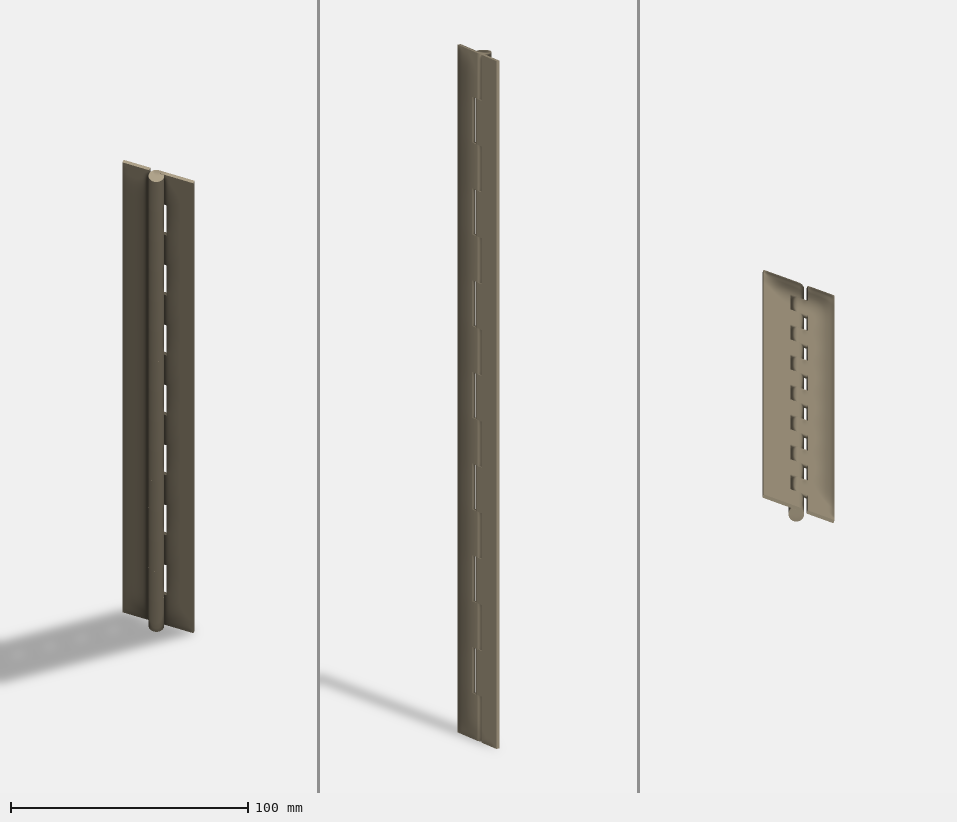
import cadquery as cq

LENGTH = 300.0
OPEN_WIDTH = 32.0
BARREL_DIAMETER = 6.5
LEAF_THICKNESS = 1.5
KNUCKLE_COUNT = 15
NOTCH_CLEARANCE = 0.5
SEAM_GAP = 0.15

BARREL_RADIUS = BARREL_DIAMETER / 2
PIN_RADIUS = BARREL_RADIUS - LEAF_THICKNESS
KNUCKLE_LENGTH = LENGTH / KNUCKLE_COUNT
LEAF_BACK = BARREL_RADIUS
LEAF_FRONT = LEAF_BACK - LEAF_THICKNESS
LEAF_EDGE = OPEN_WIDTH / 2
NOTCH_EDGE = BARREL_RADIUS + NOTCH_CLEARANCE

RIGHT = 1
LEFT = -1


def make_bar(base, x_start, x_end, y_front, y_back, length):
    """Rectangular bar that rises from the base plane along the hinge axis."""
    return (
        base.moveTo(x_start, y_front)
        .lineTo(x_end, y_front)
        .lineTo(x_end, y_back)
        .lineTo(x_start, y_back)
        .close()
        .extrude(length)
    )


def make_plate(side):
    """Flat part of a leaf, ending clear of the opposite leaf's knuckles."""
    base = cq.Workplane("XY")
    return make_bar(base, side * NOTCH_EDGE, side * LEAF_EDGE, LEAF_FRONT, LEAF_BACK, LENGTH)


def make_knuckle(side, index):
    """Leaf strip rolled around the pin, leaving a narrow seam at the free end of the curl."""
    base = cq.Workplane("XY").workplane(offset=index * KNUCKLE_LENGTH)
    barrel = base.circle(BARREL_RADIUS).extrude(KNUCKLE_LENGTH)
    bore = base.circle(PIN_RADIUS).extrude(KNUCKLE_LENGTH)
    tab = make_bar(base, 0, side * NOTCH_EDGE, LEAF_FRONT, LEAF_BACK, KNUCKLE_LENGTH)
    seam_front = LEAF_FRONT - SEAM_GAP
    seam = make_bar(base, 0, side * NOTCH_EDGE, seam_front, LEAF_FRONT, KNUCKLE_LENGTH)
    return barrel.union(tab).cut(bore).cut(seam)


def make_leaf(side, first_knuckle):
    """Leaf with every second knuckle along the hinge axis."""
    leaf = make_plate(side)
    for index in range(first_knuckle, KNUCKLE_COUNT, 2):
        leaf = leaf.union(make_knuckle(side, index))
    return leaf.solids()


def make_pin():
    """Plain pin running the whole length of the barrel."""
    return cq.Workplane("XY").circle(PIN_RADIUS).extrude(LENGTH)


right_leaf = make_leaf(RIGHT, first_knuckle=0)
left_leaf = make_leaf(LEFT, first_knuckle=1)
pin = make_pin()

result = cq.Compound.makeCompound([right_leaf.val(), left_leaf.val(), pin.val()])